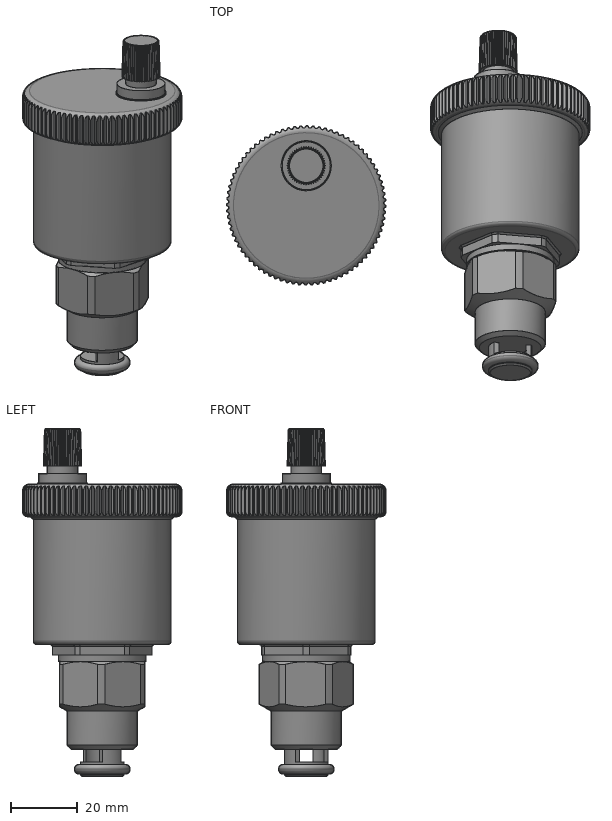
import cadquery as cq
import math

foot_r = 6.6
foot_chamfer = 0.5
foot_top_z = 4.4
leg_bore_r = 5.3
leg_width = foot_r
leg_angle = 30
ring_tube_r = 1.5
ring_outer_r = 8.4
ring_z = 2.2
thread_r = 10.6
thread_bottom_z = 8.2
thread_chamfer = 1.3
nut_flats = 25.5
nut_corner_r = 14.1
nut_bottom_z = 19.7
nut_top_z = 34.6
nut_top_r = 12.5
nut_angle = -1
nut_chamfer_angle = 30

collar_r = 13.2
flange_flats = 26.8
flange_corner_r = 15.0
flange_bottom_z = 36.5
flange_angle = 30
flare_angle = 45
flare = 0.5
housing_r = 20.7
housing_bottom_z = 39.6
housing_fillet = 1.0

cap_r = 24.0
cap_tooth_blunting = 0.2
cap_tooth_depth = 0.8
cap_tooth_count = 80
cap_tooth_angle = -0.5
tooth_floor_share = 0.25
cap_bottom_z = 78.0
cap_top_z = 87.9
cap_top_fillet = 2.1
cap_bottom_fillet = 1.6
skirt_r = 21.7
skirt_height = 0.8

outlet_y = 11.9
boss_r = 7.2
boss_top_z = 91.0
boss_foot_r = 7.5
boss_foot_height = 0.3
neck_r = 4.6
knob_bottom_z = 93.3
knob_top_z = 104.6
knob_bottom_r = 5.8
knob_top_r = 5.4
knob_tooth_depth = 0.4
knob_tooth_count = 48
knob_chamfer = 0.4


def cylinder(radius, bottom_z, top_z):
    return cq.Workplane("XY").workplane(offset=bottom_z).circle(radius).extrude(top_z - bottom_z)


def revolve_about_z(profile):
    return profile.close().revolve(360, (0, 0, 0), (0, 1, 0))


def hexagon(across_flats, bottom_z, height, taper=0):
    corner_diameter = across_flats / math.cos(math.pi / 6)
    plane = cq.Workplane("XY").workplane(offset=bottom_z)
    return plane.polygon(6, corner_diameter).extrude(height, taper=taper)


def tooth_points(tip_r, depth, count, floor_share):
    """Outline of a ring of pointed teeth, with a tip on the +X axis.

    The flat floor between two teeth takes up the given share of the pitch.
    """
    root_r = tip_r - depth
    pitch = 2 * math.pi / count
    flank = pitch * (1 - floor_share) / 2
    points = []
    for i in range(count):
        tip_angle = i * pitch
        for radius, angle in (
            (root_r, tip_angle - flank),
            (tip_r, tip_angle),
            (root_r, tip_angle + flank),
        ):
            points.append((radius * math.cos(angle), radius * math.sin(angle)))
    return points


def make_foot():
    disc = cylinder(foot_r, 0, foot_top_z).faces("<Z").chamfer(foot_chamfer)
    ring_path_r = ring_outer_r - ring_tube_r
    ring = cq.Workplane("XZ").center(ring_path_r, ring_z).circle(ring_tube_r)
    ring = ring.revolve(360, (-ring_path_r, 0, 0), (-ring_path_r, 1, 0))
    return disc.union(ring)


def make_legs():
    """Two opposite legs: a tube trimmed to a straight band across its middle."""
    height = thread_bottom_z - foot_top_z
    tube = cylinder(foot_r, foot_top_z, thread_bottom_z)
    tube = tube.cut(cylinder(leg_bore_r, foot_top_z, thread_bottom_z))
    band = cq.Workplane("XY").workplane(offset=foot_top_z).rect(2 * foot_r, leg_width).extrude(height)
    return tube.intersect(band.rotate((0, 0, 0), (0, 0, 1), leg_angle))


def make_nut():
    """Hexagon with rounded corners, chamfered conically at both ends."""
    slope = math.tan(math.radians(nut_chamfer_angle))
    top_drop = (nut_corner_r - nut_top_r) * slope
    bottom_rise = (nut_corner_r - thread_r) * slope
    envelope = revolve_about_z(
        cq.Workplane("XZ")
        .moveTo(0, nut_bottom_z)
        .lineTo(thread_r, nut_bottom_z)
        .lineTo(nut_corner_r, nut_bottom_z + bottom_rise)
        .lineTo(nut_corner_r, nut_top_z - top_drop)
        .lineTo(nut_top_r, nut_top_z)
        .lineTo(0, nut_top_z)
    )
    prism = hexagon(nut_flats, nut_bottom_z, nut_top_z - nut_bottom_z)
    return prism.rotate((0, 0, 0), (0, 0, 1), nut_angle).intersect(envelope)


def make_shutoff_valve():
    thread = cylinder(thread_r, thread_bottom_z, nut_bottom_z).faces("<Z").chamfer(thread_chamfer)
    return make_foot().union(make_legs()).union(thread).union(make_nut())


def make_flange():
    """Hexagonal flange over a round collar, flaring out into the housing."""
    flare_z = housing_bottom_z - flare
    prism = hexagon(flange_flats, flange_bottom_z, flare_z - flange_bottom_z)
    prism = prism.intersect(cylinder(flange_corner_r, flange_bottom_z, flare_z))
    widening = hexagon(flange_flats, flare_z, flare, taper=-flare_angle)
    cone = cq.Workplane("XY").workplane(offset=flare_z).circle(flange_corner_r)
    cone = cone.extrude(flare, taper=-flare_angle)
    hexagonal = prism.union(widening.intersect(cone)).rotate((0, 0, 0), (0, 0, 1), flange_angle)
    return hexagonal.union(cylinder(collar_r, nut_top_z, flange_bottom_z))


def make_housing():
    return cylinder(housing_r, housing_bottom_z, cap_bottom_z).faces("<Z").edges().fillet(housing_fillet)


def make_cap():
    """Screw cap: a toothed grip trimmed by a rounded disc, with a cone below."""
    disc = cylinder(cap_r, cap_bottom_z, cap_top_z)
    disc = disc.faces(">Z").edges().fillet(cap_top_fillet).faces("<Z").edges().fillet(cap_bottom_fillet)
    outline = tooth_points(cap_r + cap_tooth_blunting, cap_tooth_depth, cap_tooth_count, tooth_floor_share)
    grip = cq.Workplane("XY").workplane(offset=cap_bottom_z).polyline(outline).close()
    grip = grip.extrude(cap_top_z - cap_bottom_z).rotate((0, 0, 0), (0, 0, 1), cap_tooth_angle)
    grip = grip.intersect(disc)
    skirt = revolve_about_z(
        cq.Workplane("XZ")
        .moveTo(0, cap_bottom_z - skirt_height)
        .lineTo(housing_r, cap_bottom_z - skirt_height)
        .lineTo(skirt_r, cap_bottom_z)
        .lineTo(0, cap_bottom_z)
    )
    return grip.union(skirt)


def make_knob():
    """Tapered, toothed knob with a chamfered top edge."""
    height = knob_top_z - knob_bottom_z
    teeth = (
        cq.Workplane("XY")
        .workplane(offset=knob_bottom_z)
        .polyline(tooth_points(knob_bottom_r, knob_tooth_depth, knob_tooth_count, tooth_floor_share))
        .close()
        .workplane(offset=height)
        .polyline(tooth_points(knob_top_r, knob_tooth_depth, knob_tooth_count, tooth_floor_share))
        .close()
        .loft(ruled=True)
    )
    top_edge_r = knob_top_r - knob_chamfer
    shoulder_r = knob_bottom_r + knob_chamfer
    shoulder_drop = shoulder_r - top_edge_r
    envelope = revolve_about_z(
        cq.Workplane("XZ")
        .moveTo(0, knob_bottom_z)
        .lineTo(shoulder_r, knob_bottom_z)
        .lineTo(shoulder_r, knob_top_z - shoulder_drop)
        .lineTo(top_edge_r, knob_top_z)
        .lineTo(0, knob_top_z)
    )
    return teeth.intersect(envelope)


def make_outlet():
    foot = cylinder(boss_foot_r, cap_top_z, cap_top_z + boss_foot_height)
    boss = cylinder(boss_r, cap_top_z, boss_top_z)
    neck = cylinder(neck_r, boss_top_z, knob_bottom_z)
    return foot.union(boss).union(neck).union(make_knob()).translate((0, outlet_y, 0))


def make_air_vent():
    return make_flange().union(make_housing()).union(make_cap()).union(make_outlet())


shutoff_valve = make_shutoff_valve()
air_vent = make_air_vent()
result = cq.Compound.makeCompound([shutoff_valve.solids().val(), air_vent.solids().val()])